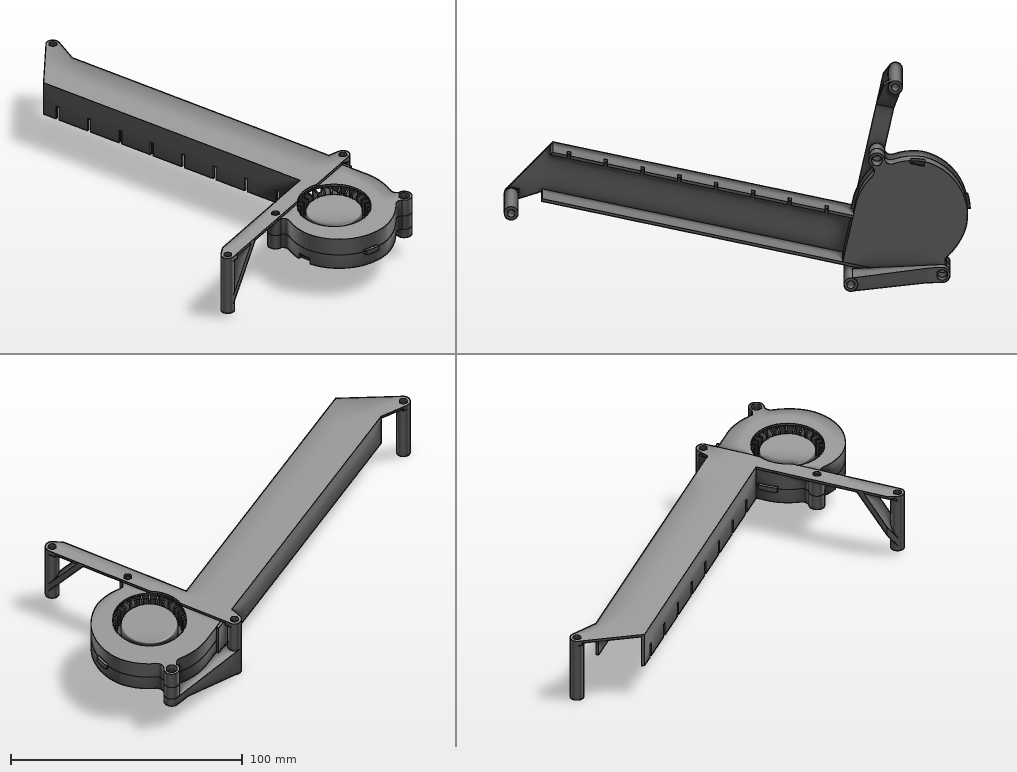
import cadquery as cq
import math

SHEET = 1.2
POST_RADIUS = 3.0
POST_HOLE = 3.4
POST_LENGTH = 31.3
SHORT_POST_LENGTH = 29.0
POST_SPACING_X = 150.0
POST_SPACING_Y = 90.0
POST_1 = (0.0, 0.0)
POST_2 = (POST_SPACING_X, 0.0)
POST_3 = (POST_SPACING_X, -POST_SPACING_Y)
PAD_THICKNESS = 2.5

DUCT_BACK = -3.9
DUCT_FRONT = -26.4
DUCT_START = 12.6
DUCT_BOTTOM = -16.6
BACK_WALL_END = 157.0
BAR_LEFT = 145.3
BAR_RIGHT = POST_SPACING_X + POST_RADIUS
BAR_TAPER_START = -87.0

SLOT_COUNT = 8
SLOT_FIRST = 19.8
SLOT_PITCH = 16.26
SLOT_WIDTH = 1.5
SLOT_HEIGHT = 6.6

STRUT_TOP = -73.0
STRUT_SLOPE = 1.385
STRUT_RUN = 3.2

CASE_TOP = -SHEET
CASE_BOTTOM = DUCT_BOTTOM
PARTING = -9.5
CASE_WALL = 1.1
OUTLET_BACK = DUCT_BACK - SHEET
OUTLET_FRONT = DUCT_FRONT + SHEET
FAN_CENTER = (167.0, -32.5)
INLET_DIAMETER = 31.8
LUG_RADIUS = 3.4
LUG_HOLE = 4.6
LUG_A = (188.2, -9.8)
LUG_B = (POST_SPACING_X, -52.7)
NECK_LENGTH = 9.0
NECK_WIDTH = 6.0
NECK_FILLET = 3.0
CORNER_REACH = 2.4

SPIRAL_START = (166.5, OUTLET_BACK)
SPIRAL_NORTH_EAST = (190.1, -19.2)
SPIRAL_EAST = (194.0, -32.0)
SPIRAL_SOUTH_EAST = (184.4, -51.4)
SPIRAL_SOUTH = (169.5, -56.7)
SPIRAL_SOUTH_WEST = (152.5, -49.0)
SPIRAL_WEST = (BAR_LEFT, -30.0)

CLIP_REACH = 1.2
CLIP_TOP = -8.3
CLIP_BOTTOM = -10.6
WEST_CLIP = (-27.6, -36.4)
EAST_CLIP = (-38.5, -44.5)

WIRE_NOTCH_X = 167.3
WIRE_NOTCH_WIDTH = 6.2
WIRE_NOTCH_TOP = -13.6
WIRE_NOTCH_FILLET = 1.0

HUB_DIAMETER = 24.5
HUB_TOP_DIAMETER = 22.8
HUB_TOP = -3.6
BLADE_INNER = 14.7
BLADE_OUTER = 19.3
BLADE_TOP = -4.6
DISC_TOP = -12.8
DISC_BOTTOM = -13.6
BLADE_COUNT = 31
BLADE_THICKNESS = 0.8

BOSS_HOLE = 4.7
BOSS_BOTTOM = -21.0
ARM_SLOPE_END = 182.3

FAR = 300.0


def prism(points, bottom, top):
    return cq.Workplane("XY").workplane(offset=bottom).polyline(points).close().extrude(top - bottom)


def cylinder(center, radius, bottom, top):
    return cq.Workplane("XY").workplane(offset=bottom).center(*center).circle(radius).extrude(top - bottom)


def block(x_range, y_range, z_range):
    size = [abs(b - a) for a, b in (x_range, y_range, z_range)]
    middle = tuple((a + b) / 2 for a, b in (x_range, y_range, z_range))
    return cq.Workplane("XY").box(*size).translate(middle)


def tangent_point(point, center, radius, side):
    """Where a line from point touches the circle; side +1 or -1 picks one of the two tangents."""
    dx = point[0] - center[0]
    dy = point[1] - center[1]
    angle = math.atan2(dy, dx) + side * math.acos(radius / math.hypot(dx, dy))
    return (center[0] + radius * math.cos(angle), center[1] + radius * math.sin(angle))


def plate(bottom, top):
    back_left = (DUCT_START, DUCT_BACK)
    front_left = (DUCT_START, DUCT_FRONT)
    back_right = (BAR_LEFT, DUCT_BACK)
    taper_start = (BAR_LEFT, BAR_TAPER_START)
    outline = [
        POST_1,
        tangent_point(back_left, POST_1, POST_RADIUS, 1),
        back_left,
        back_right,
        tangent_point(back_right, POST_2, POST_RADIUS, -1),
        POST_2,
        (BAR_RIGHT, POST_2[1]),
        (BAR_RIGHT, POST_3[1]),
        POST_3,
        tangent_point(taper_start, POST_3, POST_RADIUS, 1),
        taper_start,
        (BAR_LEFT, DUCT_FRONT),
        front_left,
        tangent_point(front_left, POST_1, POST_RADIUS, -1),
    ]
    sheet = prism(outline, bottom, top)
    for post in (POST_1, POST_2, POST_3):
        sheet = sheet.union(cylinder(post, POST_RADIUS, bottom, top))
    return sheet


def post_pads():
    pads = cq.Workplane("XY")
    for x, y in (POST_1, POST_2, POST_3):
        x_range = (x - POST_RADIUS, x + POST_RADIUS)
        y_range = (y - POST_RADIUS, y + POST_RADIUS)
        pads = pads.add(block(x_range, y_range, (-PAD_THICKNESS, 0)))
    return plate(-PAD_THICKNESS, 0).intersect(pads.combine())


def duct_walls():
    z_range = (DUCT_BOTTOM, 0)
    back = block((DUCT_START, BACK_WALL_END), (DUCT_BACK - SHEET, DUCT_BACK), z_range)
    front = block((DUCT_START - SHEET, BAR_LEFT), (DUCT_FRONT, DUCT_FRONT + SHEET), z_range)
    front = front.intersect(plate(DUCT_BOTTOM, 0))
    for i in range(SLOT_COUNT):
        x = SLOT_FIRST + i * SLOT_PITCH
        front = front.cut(
            block(
                (x - SLOT_WIDTH / 2, x + SLOT_WIDTH / 2),
                (DUCT_FRONT, DUCT_FRONT + SHEET),
                (DUCT_BOTTOM, DUCT_BOTTOM + SLOT_HEIGHT),
            )
        )
    back = back.cut(block((BAR_RIGHT, BACK_WALL_END), (DUCT_BACK - SHEET, DUCT_BACK), (CASE_TOP, 0)))
    return back.union(front)


def strut():
    """Sloped brace from the bar down to post 3, as wide as the bar and its taper."""
    run = SHORT_POST_LENGTH / STRUT_SLOPE
    profile = [
        (STRUT_TOP, -SHEET),
        (STRUT_TOP - run, -SHEET - SHORT_POST_LENGTH),
        (STRUT_TOP - run - STRUT_RUN, -SHEET - SHORT_POST_LENGTH),
        (STRUT_TOP - STRUT_RUN, -SHEET),
    ]
    start = cq.Workplane("YZ").workplane(offset=BAR_LEFT)
    slab = start.polyline(profile).close().extrude(BAR_RIGHT - BAR_LEFT)
    return slab.intersect(plate(-SHORT_POST_LENGTH, 0))


def blower_arm():
    """Arm from post 2 to the boss below the far lug, with a sloped underside."""
    length = math.hypot(LUG_A[0] - POST_2[0], LUG_A[1] - POST_2[1])
    angle = math.atan2(LUG_A[1] - POST_2[1], LUG_A[0] - POST_2[0])
    across = math.acos((POST_RADIUS - LUG_RADIUS) / length)
    ends = []
    for center, radius, sides in ((POST_2, POST_RADIUS, (1, -1)), (LUG_A, LUG_RADIUS, (-1, 1))):
        for side in sides:
            direction = angle + side * across
            x = center[0] + radius * math.cos(direction)
            y = center[1] + radius * math.sin(direction)
            ends.append((x, y))
    hull = prism(ends, -POST_LENGTH, CASE_BOTTOM)
    side_profile = [
        (POST_2[0], CASE_BOTTOM),
        (POST_2[0], -POST_LENGTH),
        (ARM_SLOPE_END, BOSS_BOTTOM),
        (LUG_A[0], BOSS_BOTTOM),
        (LUG_A[0] + LUG_RADIUS, CASE_BOTTOM),
    ]
    wedge = cq.Workplane("XZ").polyline(side_profile).close().extrude(FAR, both=True)
    arm = hull.intersect(wedge).union(cylinder(LUG_A, LUG_RADIUS, BOSS_BOTTOM, CASE_BOTTOM))
    return arm.cut(cylinder(LUG_A, BOSS_HOLE / 2, BOSS_BOTTOM, CASE_BOTTOM))


def build_bracket():
    body = plate(-SHEET, 0).union(post_pads()).union(duct_walls()).union(strut()).union(blower_arm())
    for post, length in ((POST_1, POST_LENGTH), (POST_2, POST_LENGTH), (POST_3, SHORT_POST_LENGTH)):
        body = body.union(cylinder(post, POST_RADIUS, -length, 0))
        body = body.cut(cylinder(post, POST_HOLE / 2, -length, 0))
    body = body.cut(cylinder(LUG_B, POST_HOLE / 2, -SHEET, 0))
    return body.cut(cylinder(FAN_CENTER, INLET_DIAMETER / 2, -SHEET, 0))


def case_outline(bottom, top, inset=0.0):
    """Spiral body with its straight outlet, moved inwards by inset."""
    body = (
        cq.Workplane("XY")
        .workplane(offset=bottom)
        .moveTo(BAR_LEFT, OUTLET_BACK)
        .lineTo(*SPIRAL_START)
        .threePointArc(SPIRAL_NORTH_EAST, SPIRAL_EAST)
        .threePointArc(SPIRAL_SOUTH_EAST, SPIRAL_SOUTH)
        .threePointArc(SPIRAL_SOUTH_WEST, SPIRAL_WEST)
        .close()
    )
    if inset:
        body = body.offset2D(-inset)
    return body.extrude(top - bottom)


def lug_neck(lug):
    """Straight neck that runs from the centre of a lug towards the inlet."""
    angle = math.degrees(math.atan2(FAN_CENTER[1] - lug[1], FAN_CENTER[0] - lug[0]))
    neck = block((0, NECK_LENGTH), (-NECK_WIDTH / 2, NECK_WIDTH / 2), (CASE_BOTTOM, CASE_TOP))
    return neck.rotate((0, 0, 0), (0, 0, 1), angle).translate((*lug, 0))


def neck_corners(lug):
    """Selects the two upright edges where a neck leaves the spiral, halfway along the neck."""
    distance = math.dist(FAN_CENTER, lug)
    x, y = (lug[i] + (FAN_CENTER[i] - lug[i]) * NECK_LENGTH / 2 / distance for i in (0, 1))
    low = (x - CORNER_REACH, y - CORNER_REACH, CASE_BOTTOM)
    high = (x + CORNER_REACH, y + CORNER_REACH, CASE_TOP)
    return cq.selectors.BoxSelector(low, high)


def wire_notch():
    """Round-cornered opening for the wires through the front of the case wall."""
    x_range = (WIRE_NOTCH_X - WIRE_NOTCH_WIDTH / 2, WIRE_NOTCH_X + WIRE_NOTCH_WIDTH / 2)
    y_range = (SPIRAL_SOUTH[1] - 1, SPIRAL_SOUTH[1] + 2 * CASE_WALL)
    notch = block(x_range, y_range, (CASE_BOTTOM, WIRE_NOTCH_TOP))
    return notch.edges("|Y and >Z").fillet(WIRE_NOTCH_FILLET)


def case_block():
    body = case_outline(CASE_BOTTOM, CASE_TOP)
    for lug in (LUG_A, LUG_B):
        body = body.union(lug_neck(lug))
        body = body.edges("|Z").edges(neck_corners(lug)).fillet(NECK_FILLET)
        body = body.union(cylinder(lug, LUG_RADIUS, CASE_BOTTOM, CASE_TOP))
    return body.cut(wire_notch())


def case_cavity():
    floor = CASE_BOTTOM + CASE_WALL
    roof = CASE_TOP - CASE_WALL
    cavity = case_outline(floor, roof, CASE_WALL)
    outlet = block(
        (BAR_LEFT, FAN_CENTER[0]),
        (OUTLET_FRONT + CASE_WALL, OUTLET_BACK - CASE_WALL),
        (floor, roof),
    )
    return cavity.union(outlet)


def clip(x_range, y_range):
    """Snap clip on the outside of the case wall, across the parting plane."""
    reach = case_outline(CLIP_BOTTOM, CLIP_TOP, -CLIP_REACH)
    reach = reach.intersect(block(x_range, y_range, (CLIP_BOTTOM, CLIP_TOP)))
    return reach.cut(case_outline(CLIP_BOTTOM, CLIP_TOP))


def build_case():
    case = case_block().cut(case_cavity())
    for lug in (LUG_A, LUG_B):
        case = case.cut(cylinder(lug, LUG_HOLE / 2, CASE_BOTTOM, CASE_TOP))
    return case.cut(cylinder(FAN_CENTER, INLET_DIAMETER / 2, PARTING, CASE_TOP))


def build_upper_case():
    half = build_case().intersect(block((0, FAR), (-FAR, FAR), (PARTING, CASE_TOP)))
    half = half.union(clip((0, FAN_CENTER[0]), WEST_CLIP))
    return half.union(clip((FAN_CENTER[0], FAR), EAST_CLIP))


def build_lower_case():
    return build_case().intersect(block((0, FAR), (-FAR, FAR), (CASE_BOTTOM, PARTING)))


def build_rotor():
    """Hub that stands on the case floor, with a disc that carries a ring of blades."""
    floor = CASE_BOTTOM + CASE_WALL
    hub_fillet = (HUB_DIAMETER - HUB_TOP_DIAMETER) / 2
    body = cylinder(FAN_CENTER, HUB_DIAMETER / 2, floor, HUB_TOP).faces(">Z").edges().fillet(hub_fillet)
    body = body.union(cylinder(FAN_CENTER, BLADE_OUTER, DISC_BOTTOM, DISC_TOP))
    blade_sides = (-BLADE_THICKNESS / 2, BLADE_THICKNESS / 2)
    blade = block((BLADE_INNER, BLADE_OUTER), blade_sides, (DISC_BOTTOM, BLADE_TOP))
    for i in range(BLADE_COUNT):
        turned = blade.rotate((0, 0, 0), (0, 0, 1), i * 360 / BLADE_COUNT)
        body = body.union(turned.translate((*FAN_CENTER, 0)))
    return body


bracket = build_bracket()
upper_case = build_upper_case()
lower_case = build_lower_case()
rotor = build_rotor()
result = cq.Compound.makeCompound([bracket.val(), upper_case.val(), lower_case.val(), rotor.val()])